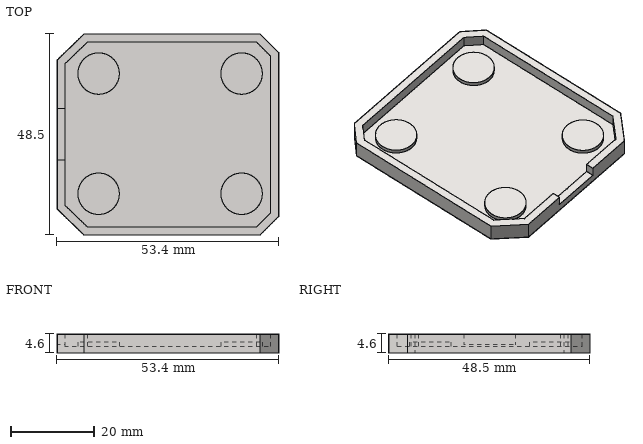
import cadquery as cq

length = 53.4
width = 48.5
height = 4.6
wall = 2.0
floor_thickness = 1.6

left_cut_x = 6.5
left_cut_y = 6.3
right_cut = 4.55

pad_diameter = 10.0
pad_height = 1.0
pad_spacing_x = 34.45
pad_spacing_y = 28.95
pad_center_x = 0.55
pad_center_y = 0.2

notch_width = 12.45
notch_depth = 2.5
notch_center_y = 0.1


def tray_outline():
    """Rectangle with its four corners cut off."""
    half_x = length / 2
    half_y = width / 2
    return cq.Workplane("XY").polyline([
        (-half_x + left_cut_x, -half_y),
        (half_x - right_cut, -half_y),
        (half_x, -half_y + right_cut),
        (half_x, half_y - right_cut),
        (half_x - right_cut, half_y),
        (-half_x + left_cut_x, half_y),
        (-half_x, half_y - left_cut_y),
        (-half_x, -half_y + left_cut_y),
    ]).close()


def make_tray():
    """Open tray with a wall of constant thickness."""
    body = tray_outline().extrude(height)
    cavity = tray_outline().offset2D(-wall, "intersection").extrude(height)
    return body.cut(cavity.translate((0, 0, floor_thickness)))


def make_pads():
    """Four pads on a rectangular grid, rooted at the base to join the floor."""
    return (
        cq.Workplane("XY")
        .center(pad_center_x, pad_center_y)
        .rarray(pad_spacing_x, pad_spacing_y, 2, 2)
        .circle(pad_diameter / 2)
        .extrude(floor_thickness + pad_height)
    )


def make_notch():
    """Block that opens the top of the -X wall."""
    return (
        cq.Workplane("XY")
        .box(wall, notch_width, notch_depth, centered=(False, True, False))
        .translate((-length / 2, notch_center_y, height - notch_depth))
    )


result = make_tray().union(make_pads()).cut(make_notch())